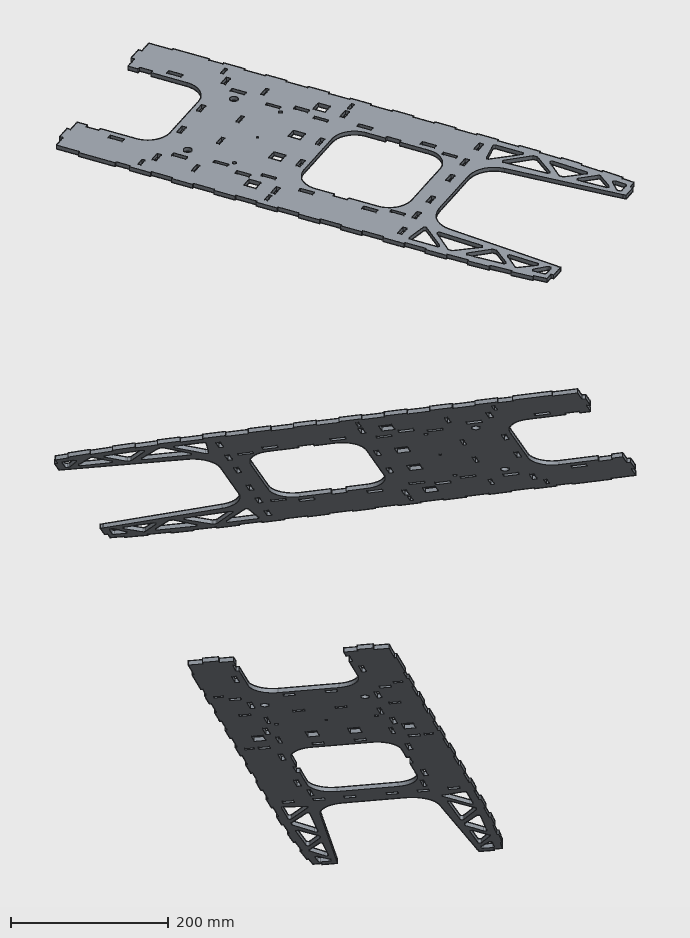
import cadquery as cq


overall_length = 702.0
overall_width = 266.0
thickness = 6.0

rear_tab_depth = 5.0
front_tab_depth = 4.0
rear_tab_y = (90.0, 111.0)
front_tab_y = (92.0, 112.0)
front_tip_x = overall_length - rear_tab_depth
front_edge_x = front_tip_x - front_tab_depth

side_tab_depth = 2.5
side_tab_length = 30.0
side_tab_pitch = 2 * side_tab_length
side_tab_count = 10
first_side_tab_center_x = 120.0
long_side_tab_x = (33.0, 85.0)
side_half_width = overall_width / 2 - side_tab_depth

taper_start_x = 533.0
taper_end_half_width = 123.0

opening_half_width = 71.5
opening_corner_radius = 32.0
rear_opening_end_x = 116.0
window_x = (306.0, 459.0)
front_opening_x = 498.7
front_flare_start_y = 40.0
front_flare_corner = (501.3, 74.8)
front_corner_radius = 36.0

lengthwise_slot_size = (20.0, 6.0)
lengthwise_slot_count = 5
lengthwise_slot_pitch = 90.0
first_lengthwise_slot_x = 61.0
lengthwise_slot_y = 82.5

thin_slot_size = (20.0, 4.5)
thin_slot_x = (205.2, 273.0, 375.6, 456.0)
thin_slot_y = 73.5
rear_notch_size = (18.2, thin_slot_size[1])
rear_notch_x = 23.6

cross_row_y = (27.5, 97.5)
cross_slot_length = 15.0
cross_slot_size = (6.0, cross_slot_length)
cross_slot_x = (126.0, 295.0)
narrow_slot_size = (4.5, cross_slot_length)
narrow_slot_x = 181.5
square_size = (17.0, cross_slot_length)
square_x = 262.0

front_slot_x = 480.0
front_slot_y = (27.5, 67.7, 107.7)

short_slot_size = (4.0, 12.0)
short_slot_x = (114.0, 294.0)
short_slot_y = 116.5

large_hole_diameter = 11.0
large_hole_center = (153.7, 65.2)
small_hole_diameter = 5.0
small_hole_center = (220.0, 65.0)
center_hole_diameter = 3.0
center_hole_x = small_hole_center[0]

truss_corner_radius = 2.5
truss_windows = (
    ((494.5, 120.3), (542.0, 120.3), (501.0, 85.0)),
    ((517.5, 89.2), (591.5, 92.7), (556.8, 120.0), (551.3, 120.0)),
    ((572.0, 120.3), (634.5, 117.0), (606.8, 94.0), (601.0, 94.0)),
    ((620.5, 95.2), (673.3, 97.5), (646.3, 118.5)),
    ((664.0, 115.7), (687.0, 114.3), (687.0, 97.5), (681.5, 97.5)),
)

overlap = 1.0


def prism(points):
    return cq.Workplane("XY").polyline(points).close().extrude(thickness)


def block(x_range, y_range):
    x0, x1 = x_range
    y0, y1 = y_range
    return prism([(x0, y0), (x1, y0), (x1, y1), (x0, y1)])


def both_sides(body):
    return body.union(body.mirror("XZ"))


def mirrored_points(points):
    return points + [(x, -y) for x, y in points]


def closed_by_mirror(upper_points):
    """Outline made of the given +Y points and their reflection, in order."""
    return upper_points + [(x, -y) for x, y in reversed(upper_points)]


def side_y(x):
    """Half width of the plate at the bottom of the side gaps."""
    if x <= taper_start_x:
        return side_half_width
    progress = (x - taper_start_x) / (front_edge_x - taper_start_x)
    return side_half_width - (side_half_width - taper_end_half_width) * progress**2


def side_tab_ranges():
    ranges = [long_side_tab_x]
    for i in range(side_tab_count):
        center = first_side_tab_center_x + i * side_tab_pitch
        ranges.append((center - side_tab_length / 2, center + side_tab_length / 2))
    return ranges


def toothed_plate():
    upper = [(0, side_y(0))]
    for start, end in side_tab_ranges():
        upper.append((start, side_y(start)))
        upper.append((start, side_y(start) + side_tab_depth))
        upper.append((end, side_y(end) + side_tab_depth))
        upper.append((end, side_y(end)))
    upper.append((front_edge_x, side_y(front_edge_x)))
    return prism(closed_by_mirror(upper))


def end_tabs():
    rear = block((-rear_tab_depth, overlap), rear_tab_y)
    front = block((front_edge_x - overlap, front_tip_x), front_tab_y)
    return both_sides(rear.union(front))


def rear_opening():
    body = block((-overlap, rear_opening_end_x), (-opening_half_width, opening_half_width))
    return body.edges("|Z and >X").fillet(opening_corner_radius)


def middle_window():
    body = block(window_x, (-opening_half_width, opening_half_width))
    return body.edges("|Z").fillet(opening_corner_radius)


def front_opening():
    arm_tip = (front_tip_x, front_tab_y[0])
    upper = [(front_opening_x, front_flare_start_y), front_flare_corner, arm_tip]
    body = prism(closed_by_mirror(upper))
    corner_x, corner_y = front_flare_corner
    corners = cq.selectors.BoxSelector(
        (corner_x - overlap, -corner_y - overlap, -overlap),
        (corner_x + overlap, corner_y + overlap, thickness + overlap),
    )
    return body.edges("|Z").edges(corners).fillet(front_corner_radius)


def slots(size, x_positions, y_positions):
    centers = [(x, y) for x in x_positions for y in y_positions]
    return cq.Workplane("XY").pushPoints(mirrored_points(centers)).rect(*size).extrude(thickness)


def holes(diameter, centers):
    return cq.Workplane("XY").pushPoints(centers).circle(diameter / 2).extrude(thickness)


def truss_window(points):
    return both_sides(prism(points).edges("|Z").fillet(truss_corner_radius))


lengthwise_slot_x = [
    first_lengthwise_slot_x + i * lengthwise_slot_pitch for i in range(lengthwise_slot_count)
]

cutouts = [
    rear_opening(),
    middle_window(),
    front_opening(),
    slots(lengthwise_slot_size, lengthwise_slot_x, [lengthwise_slot_y]),
    slots(thin_slot_size, thin_slot_x, [thin_slot_y]),
    slots(rear_notch_size, [rear_notch_x], [thin_slot_y]),
    slots(cross_slot_size, cross_slot_x, cross_row_y),
    slots(narrow_slot_size, [narrow_slot_x], cross_row_y),
    slots(square_size, [square_x], cross_row_y),
    slots(cross_slot_size, [front_slot_x], front_slot_y),
    slots(short_slot_size, short_slot_x, [short_slot_y]),
    holes(large_hole_diameter, mirrored_points([large_hole_center])),
    holes(small_hole_diameter, mirrored_points([small_hole_center])),
    holes(center_hole_diameter, [(center_hole_x, 0)]),
]
cutouts += [truss_window(points) for points in truss_windows]

result = toothed_plate().union(end_tabs())
for cutout in cutouts:
    result = result.cut(cutout)